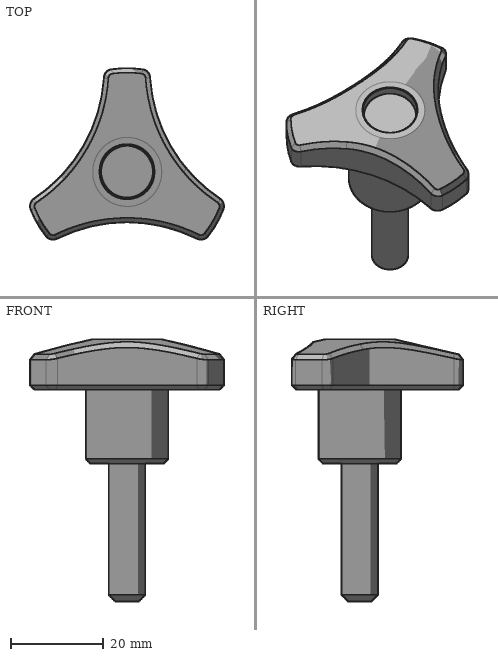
import cadquery as cq
import math


STUD_DIAMETER = 8.0
STUD_LENGTH = 30.0
STUD_CHAMFER = 1.5

HUB_DIAMETER = 18.0
HUB_HEIGHT = 16.0
HUB_CHAMFER = 1.0

ARM_COUNT = 3
FIRST_ARM_ANGLE = 90.0
ARM_REACH = 22.5
WAIST_RADIUS = 11.0
SCALLOP_RADIUS = 34.0
CORNER_FILLET = 2.0

HEAD_HEIGHT = 11.0
TIP_HEIGHT = 7.5
FLAT_RADIUS = 7.5
HEAD_CHAMFER = 1.0

RECESS_RIM_RADIUS = 6.0
RECESS_WALL_TOP_RADIUS = 5.85
RECESS_FLOOR_RADIUS = 5.6
RECESS_DEPTH = 1.9

ARM_PITCH = 360.0 / ARM_COUNT
HEAD_TOP = HUB_HEIGHT + HEAD_HEIGHT


def make_stud():
    """Plain pin below the hub with a chamfered free end."""
    stud = cq.Workplane("XY").circle(STUD_DIAMETER / 2).extrude(-STUD_LENGTH)
    return stud.faces("<Z").chamfer(STUD_CHAMFER)


def make_hub():
    """Cylinder below the head, chamfered at its lower rim."""
    hub = cq.Workplane("XY").circle(HUB_DIAMETER / 2).extrude(HUB_HEIGHT)
    return hub.faces("<Z").chamfer(HUB_CHAMFER)


def make_head_blank():
    """Turned blank with a flat centre and a conical top."""
    profile = [
        (0, HUB_HEIGHT),
        (ARM_REACH, HUB_HEIGHT),
        (ARM_REACH, HUB_HEIGHT + TIP_HEIGHT),
        (FLAT_RADIUS, HEAD_TOP),
        (0, HEAD_TOP),
    ]
    return cq.Workplane("XZ").polyline(profile).close().revolve(360, (0, 0), (0, 1))


def make_head():
    """Blank scalloped between the arms, with rounded corners and chamfered rims."""
    head = make_head_blank()
    scallop_distance = WAIST_RADIUS + SCALLOP_RADIUS
    first_scallop_angle = FIRST_ARM_ANGLE + ARM_PITCH / 2
    for index in range(ARM_COUNT):
        angle = math.radians(first_scallop_angle + index * ARM_PITCH)
        centre = (scallop_distance * math.cos(angle), scallop_distance * math.sin(angle))
        scallop = (
            cq.Workplane("XY", origin=(0, 0, HUB_HEIGHT))
            .center(*centre)
            .circle(SCALLOP_RADIUS)
            .extrude(HEAD_HEIGHT)
        )
        head = head.cut(scallop)

    head = head.edges("|Z").fillet(CORNER_FILLET)
    head = head.faces("<Z").edges().chamfer(HEAD_CHAMFER)
    return head.faces("%CONE").edges("not %CIRCLE").chamfer(HEAD_CHAMFER)


def make_recess():
    """Shallow tapered recess with a small bevel around its rim."""
    bevel = RECESS_RIM_RADIUS - RECESS_WALL_TOP_RADIUS
    profile = [
        (0, HEAD_TOP),
        (RECESS_RIM_RADIUS, HEAD_TOP),
        (RECESS_WALL_TOP_RADIUS, HEAD_TOP - bevel),
        (RECESS_FLOOR_RADIUS, HEAD_TOP - RECESS_DEPTH),
        (0, HEAD_TOP - RECESS_DEPTH),
    ]
    return cq.Workplane("XZ").polyline(profile).close().revolve(360, (0, 0), (0, 1))


result = make_head().union(make_hub()).union(make_stud()).cut(make_recess())